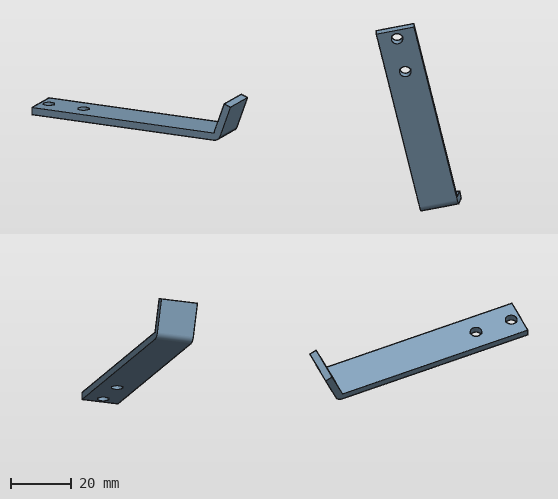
import cadquery as cq
import math

length = 72.85
width = 12.7
height = 13.0
thickness = 2.5
bend_angle = math.radians(70)

hole_diameter = 3.8
first_hole_x = 3.1
hole_pitch = 12.7

lip_length = (height - thickness) / math.sin(bend_angle)
lip_run = lip_length * math.cos(bend_angle)
bend_x = length - lip_run - thickness * math.sin(bend_angle)


def point_below_corner(angle):
    """Point on the outer bend arc, swept by angle from straight down."""
    return (
        bend_x + thickness * math.sin(angle),
        thickness - thickness * math.cos(angle),
    )


lip_outer_tip = (length, height - thickness * math.cos(bend_angle))
lip_inner_tip = (bend_x + lip_run, height)

strip = (
    cq.Workplane("XZ")
    .moveTo(0, 0)
    .lineTo(bend_x, 0)
    .threePointArc(point_below_corner(bend_angle / 2), point_below_corner(bend_angle))
    .lineTo(*lip_outer_tip)
    .lineTo(*lip_inner_tip)
    .lineTo(bend_x, thickness)
    .lineTo(0, thickness)
    .close()
    .extrude(width / 2, both=True)
)

holes = (
    cq.Workplane("XY")
    .pushPoints([(first_hole_x, 0), (first_hole_x + hole_pitch, 0)])
    .circle(hole_diameter / 2)
    .extrude(thickness)
)

result = strip.cut(holes)